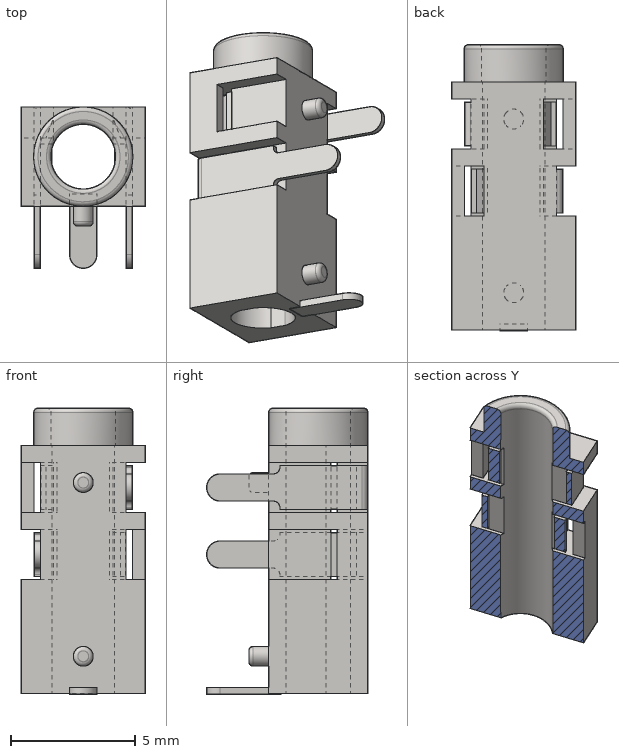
import cadquery as cq

body_width = 5.0
body_depth = 4.0
body_height = 10.0
bore_radius = 1.3
bore_half_width = 1.26
collar_radius = body_depth / 2
collar_height = 1.5
collar_round = 0.18
side_x = body_width / 2
front_y = -body_depth / 2
back_y = body_depth / 2
top_z = body_height + collar_height

sheet = 0.25
terminal_width = 1.77
tail_width = 1.1
tail_tip_y = -4.5
shoulder_y = -1.55
shoulder_round = 0.25
bend_radius = 0.245
earth_tail_start_y = -1.5
earth_tail_drop = 0.03

pocket_height = 2.0
upper_pocket_z = 8.3
lower_pocket_z = 5.6
core_half_width = 1.73
terminal_outer_x = core_half_width + sheet

window_front_y = 0.505
window_back_y = window_front_y + sheet
finger_root_x = 1.2
finger_root_y = 1.54
finger_elbow_x = 1.5
finger_tip_recess = 0.03
finger_tip_x = core_half_width - finger_tip_recess

peg_radius = 0.4
peg_length = 0.8
peg_round = 0.18
peg_heights = (1.5, 8.5)


def span(middle, length):
    """Lower and upper limits of a length centred on a position."""
    return (middle - length / 2, middle + length / 2)


def block(x_limits, y_limits, z_limits):
    """Axis-aligned box between the given pairs of limits."""
    size = [high - low for low, high in (x_limits, y_limits, z_limits)]
    corner = (x_limits[0], y_limits[0], z_limits[0])
    return cq.Workplane("XY").box(*size, centered=False).translate(corner)


def mirrored(shape):
    """Copy of a -X side feature on the +X side."""
    return shape.mirror("YZ")


def make_body():
    """Block with the round socket collar on top, before boring."""
    collar = (
        cq.Workplane("XY", origin=(0, 0, body_height))
        .circle(collar_radius)
        .extrude(collar_height)
        .faces(">Z")
        .edges()
        .fillet(collar_round)
    )
    base = block((-side_x, side_x), (front_y, back_y), (0, body_height))
    return base.union(collar)


def make_bore():
    """Through bore: rounded at the mouth, with two narrow flats inside the block."""
    mouth_radius = bore_radius + collar_round
    mouth_start_z = top_z - collar_round
    upper = (
        cq.Workplane("XZ")
        .moveTo(0, body_height)
        .lineTo(bore_radius, body_height)
        .lineTo(bore_radius, mouth_start_z)
        .radiusArc((mouth_radius, top_z), collar_round)
        .lineTo(0, top_z)
        .close()
        .revolve(360, (0, 0, 0), (0, 1, 0))
    )
    flats = block((-bore_half_width, bore_half_width), (front_y, back_y), (0, body_height))
    lower = cq.Workplane("XY").circle(bore_radius).extrude(body_height).intersect(flats)
    return upper.union(lower)


def make_open_pocket(middle_z):
    """Full-depth recess in the -X side, which takes a terminal."""
    return block((-side_x, -core_half_width), (front_y, back_y), span(middle_z, pocket_height))


def make_walled_pocket(middle_z):
    """Recess in the -X side with a back wall, and a finger cavity behind that wall."""
    z_limits = span(middle_z, pocket_height)
    recess = block((-side_x, -core_half_width), (front_y, window_back_y), z_limits)
    slot = block((-terminal_outer_x, -core_half_width), (front_y, back_y), z_limits)
    cavity = block((-terminal_outer_x, -finger_root_x), (window_front_y, back_y), z_limits)
    return recess.union(slot).union(cavity)


def make_window(middle_z):
    """Thin slit running across the whole core along X."""
    x_limits = (-core_half_width, core_half_width)
    return block(x_limits, (window_front_y, window_back_y), span(middle_z, pocket_height))


def make_contact_finger(middle_z):
    """Slanted finger on the -X side, with its tip turned out towards the core face."""
    return (
        cq.Workplane("XY", origin=(0, 0, middle_z - terminal_width / 2))
        .moveTo(-finger_root_x, window_front_y)
        .lineTo(-finger_tip_x, window_front_y)
        .lineTo(-finger_tip_x, window_back_y)
        .lineTo(-finger_elbow_x, window_back_y)
        .lineTo(-finger_root_x, finger_root_y)
        .close()
        .extrude(terminal_width)
    )


def make_side_terminal(middle_z):
    """Upright strip on the -X side: bent at the back, shouldered down to a round-tipped tail."""
    half_blade = terminal_width / 2
    half_tail = tail_width / 2
    tip_centre_y = tail_tip_y + half_tail
    neck_y = shoulder_y - shoulder_round
    neck_half = half_tail + shoulder_round
    return (
        cq.Workplane("YZ", origin=(-terminal_outer_x, 0, middle_z))
        .moveTo(back_y, half_blade)
        .lineTo(shoulder_y, half_blade)
        .lineTo(shoulder_y, neck_half)
        .radiusArc((neck_y, half_tail), shoulder_round)
        .lineTo(tip_centre_y, half_tail)
        .threePointArc((tail_tip_y, 0), (tip_centre_y, -half_tail))
        .lineTo(neck_y, -half_tail)
        .radiusArc((shoulder_y, -neck_half), shoulder_round)
        .lineTo(shoulder_y, -half_blade)
        .lineTo(back_y, -half_blade)
        .close()
        .extrude(sheet)
        .edges("|Z and <X and >Y")
        .fillet(bend_radius)
    )


def make_earth_tail():
    """Flat tail under the block, just proud of its bottom face."""
    half_tail = tail_width / 2
    tip_centre_y = tail_tip_y + half_tail
    return (
        cq.Workplane("XY", origin=(0, 0, -earth_tail_drop))
        .moveTo(-half_tail, earth_tail_start_y)
        .lineTo(-half_tail, tip_centre_y)
        .threePointArc((0, tail_tip_y), (half_tail, tip_centre_y))
        .lineTo(half_tail, earth_tail_start_y)
        .close()
        .extrude(sheet + earth_tail_drop)
    )


def make_peg(z):
    """Round-ended peg on the front face."""
    return (
        cq.Workplane("XZ", origin=(0, front_y, z))
        .circle(peg_radius)
        .extrude(peg_length)
        .faces("<Y")
        .edges()
        .fillet(peg_round)
    )


result = make_body().cut(make_bore())
result = result.cut(make_open_pocket(lower_pocket_z))
result = result.cut(make_walled_pocket(upper_pocket_z))
result = result.cut(mirrored(make_open_pocket(upper_pocket_z)))
result = result.cut(mirrored(make_walled_pocket(lower_pocket_z)))
for pocket_z in (lower_pocket_z, upper_pocket_z):
    result = result.cut(make_window(pocket_z))

result = result.union(make_side_terminal(lower_pocket_z))
result = result.union(mirrored(make_contact_finger(lower_pocket_z)))
result = result.union(mirrored(make_side_terminal(upper_pocket_z)))
result = result.union(make_contact_finger(upper_pocket_z))
result = result.union(make_earth_tail())

for peg_z in peg_heights:
    result = result.union(make_peg(peg_z))